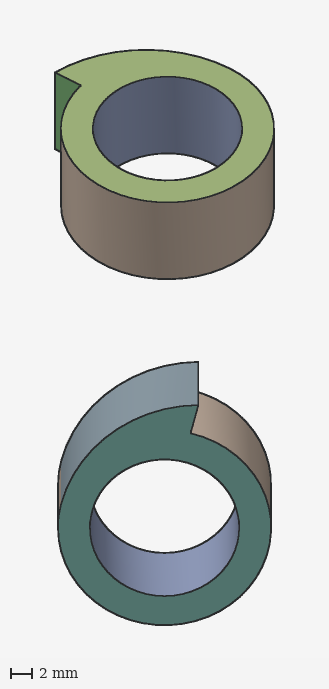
import cadquery as cq
import math

overall_length = 23.0
body_diameter = 20.0
bore_diameter = 14.0
height = 10.0

body_radius = body_diameter / 2
tip_reach = overall_length - body_radius

ramp_radius = (tip_reach**2 + body_radius**2) / (2 * body_radius)
ramp_center_y = body_radius - ramp_radius
ramp_half_angle = math.asin(tip_reach / ramp_radius) / 2
ramp_middle = (
    -ramp_radius * math.sin(ramp_half_angle),
    ramp_center_y + ramp_radius * math.cos(ramp_half_angle),
)

cam = (
    cq.Workplane("XY")
    .moveTo(-tip_reach, 0)
    .threePointArc(ramp_middle, (0, body_radius))
    .threePointArc((body_radius, 0), (0, -body_radius))
    .radiusArc((-body_radius, 0), body_radius)
    .close()
    .extrude(height)
)

bore = cq.Workplane("XY").circle(bore_diameter / 2).extrude(height)

result = cam.cut(bore)